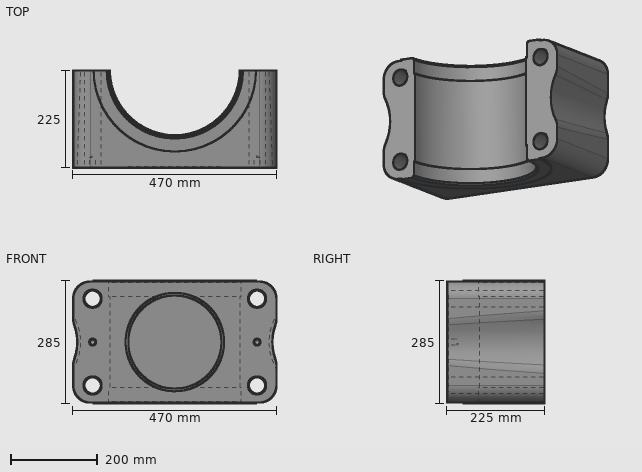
import cadquery as cq
import math

length = 470.0
depth = 225.0
overall_height = 285.0
boss_rise = 2.5
body_height = overall_height - 2 * boss_rise
corner_radius = 40.0
flange_y = -depth

boss_radius = 187.5
bore_radius = 150.0
relief_radius = 152.8
relief_length = 37.5
bore_chamfer = 4.5

scallop_radius = 116.0
scallop_depth_flange = 9.5
scallop_depth_split = 17.5
scallop_blend = 42.5
scallop_overrun = 47.0
scallop_rim_limit = 80.0

bolt_diameter = 38.0
bolt_chamfer = 2.0
bolt_x = 190.0
bolt_z = 100.0
pin_diameter = 13.0
pin_mouth_diameter = 15.5
pin_depth = 23.5
drill_point_angle = 118.0

groove_outer_diameter = 227.5
groove_inner_diameter = 215.3
groove_depth = 3.0


def upright_cylinder(radius, height):
    """Cylinder on the bore axis, centred on z = 0."""
    return cq.Workplane("XY").circle(radius).extrude(height / 2, both=True)


def flange_cylinder(diameter, height, x=0, z=0):
    """Cylinder running from the flange face into the block."""
    return (
        cq.Workplane("XZ", origin=(x, flange_y, z))
        .circle(diameter / 2)
        .extrude(-height)
    )


def flange_cone(base_diameter, tip_diameter, height, x, z, start=0):
    """Cone narrowing into the block, starting at a depth below the flange face."""
    return cq.Workplane(
        cq.Solid.makeCone(
            base_diameter / 2,
            tip_diameter / 2,
            height,
            pnt=cq.Vector(x, flange_y + start, z),
            dir=cq.Vector(0, 1, 0),
        )
    )


def scallop_cutter(side):
    """Tilted cylinder for the side at -X (side = -1) or +X (side = 1)."""
    axis_offset = length / 2 + scallop_radius
    run = cq.Vector(side * (scallop_depth_flange - scallop_depth_split), depth, 0)
    direction = run.normalized()
    flange_point = cq.Vector(side * (axis_offset - scallop_depth_flange), flange_y, 0)
    return cq.Workplane(
        cq.Solid.makeCylinder(
            scallop_radius,
            run.Length + 2 * scallop_overrun,
            flange_point - direction * scallop_overrun,
            direction,
        )
    )


def make_block():
    block = cq.Workplane("XY").box(length, depth, body_height)
    block = block.translate((0, -depth / 2, 0))
    block = block.edges("|Y").fillet(corner_radius)
    for side in (-1, 1):
        block = block.cut(scallop_cutter(side))
    rims = cq.selectors.BoxSelector(
        (-length, -0.6 * depth, -scallop_rim_limit),
        (length, -0.4 * depth, scallop_rim_limit),
    )
    return block.edges(rims).fillet(scallop_blend)


def add_bosses(body):
    half_disc = upright_cylinder(boss_radius, overall_height).intersect(
        cq.Workplane("XY").box(length, depth, overall_height).translate((0, -depth / 2, 0))
    )
    return body.union(half_disc)


def cut_bearing_seat(body):
    top = overall_height / 2
    relief_z = top - relief_length
    chamfer_z = top - bore_chamfer
    mouth_radius = relief_radius + bore_chamfer
    profile = [
        (0, -top),
        (mouth_radius, -top),
        (relief_radius, -chamfer_z),
        (relief_radius, -relief_z),
        (bore_radius, -relief_z),
        (bore_radius, relief_z),
        (relief_radius, relief_z),
        (relief_radius, chamfer_z),
        (mouth_radius, top),
        (0, top),
    ]
    seat = cq.Workplane("XZ").polyline(profile).close().revolve(360, (0, 0), (0, 1))
    return body.cut(seat)


def cut_bolt_holes(body):
    mouth_diameter = bolt_diameter + 2 * bolt_chamfer
    for x in (-bolt_x, bolt_x):
        for z in (-bolt_z, bolt_z):
            body = body.cut(flange_cylinder(bolt_diameter, depth, x, z))
            body = body.cut(flange_cone(mouth_diameter, bolt_diameter, bolt_chamfer, x, z))
    return body


def cut_pin_holes(body):
    mouth_depth = (pin_mouth_diameter - pin_diameter) / 2
    point_depth = pin_diameter / 2 / math.tan(math.radians(drill_point_angle / 2))
    for x in (-bolt_x, bolt_x):
        body = body.cut(flange_cylinder(pin_diameter, pin_depth, x))
        body = body.cut(flange_cone(pin_mouth_diameter, pin_diameter, mouth_depth, x, 0))
        body = body.cut(flange_cone(pin_diameter, 0, point_depth, x, 0, pin_depth))
    return body


def cut_ring_groove(body):
    ring = flange_cylinder(groove_outer_diameter, groove_depth).cut(
        flange_cylinder(groove_inner_diameter, groove_depth)
    )
    return body.cut(ring)


result = make_block()
result = add_bosses(result)
result = cut_bearing_seat(result)
result = cut_bolt_holes(result)
result = cut_pin_holes(result)
result = cut_ring_groove(result)